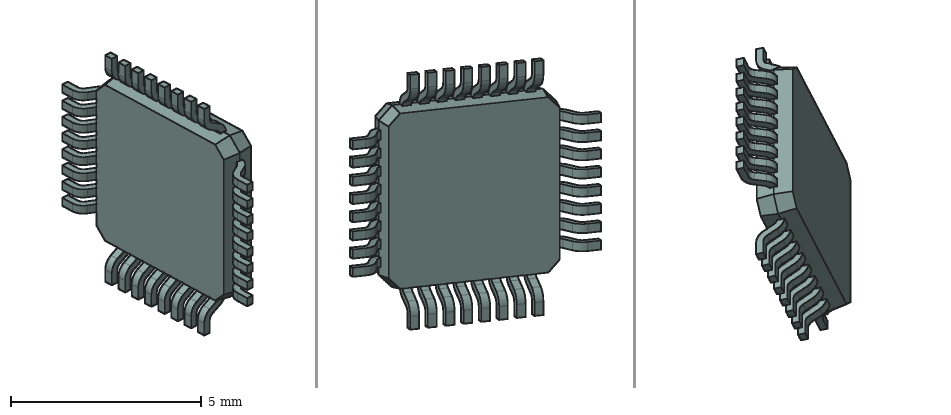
import cadquery as cq
import math


lead_tip_span = 7.0
standoff = 0.195

body_size = 5.0
body_thickness = 1.0
body_draft = 10.0
corner_chamfer = 0.38

leads_per_side = 8
lead_row_span = 3.5
lead_width = 0.25
lead_thickness = 0.2
foot_length = 0.38
bend_inner_radius = 0.2
bend_angle = math.radians(61)
root_depth = 0.35

half_thickness = body_thickness / 2
middle_y = standoff + half_thickness
lead_pitch = lead_row_span / (leads_per_side - 1)
bend_outer_radius = bend_inner_radius + lead_thickness
bend_mid_radius = bend_inner_radius + lead_thickness / 2


def body_half(direction):
    """Chamfered square, tapering from the middle plane towards +Y (1) or -Y (-1)."""
    plane = cq.Plane(origin=(0, middle_y, 0), xDir=(1, 0, 0), normal=(0, direction, 0))
    outline = cq.Sketch().rect(body_size, body_size).vertices().chamfer(corner_chamfer)
    return cq.Workplane(plane).placeSketch(outline).extrude(half_thickness, taper=body_draft)


def lead():
    """One lead reaching out along +X, centred on Z = 0."""
    foot_center_y = lead_thickness / 2
    bend_rise = 2 * bend_mid_radius * (1 - math.cos(bend_angle))
    slope_length = (middle_y - foot_center_y - bend_rise) / math.sin(bend_angle)
    bend_run = 2 * bend_mid_radius * math.sin(bend_angle) + slope_length * math.cos(bend_angle)

    tip_x = lead_tip_span / 2
    root_x = body_size / 2 - root_depth
    foot_bend_x = tip_x - foot_length
    foot_bend_y = foot_center_y + bend_mid_radius
    shoulder_bend_x = foot_bend_x - bend_run
    shoulder_bend_y = middle_y - bend_mid_radius

    def on_foot_bend(radius, angle):
        return foot_bend_x - radius * math.sin(angle), foot_bend_y - radius * math.cos(angle)

    def on_shoulder_bend(radius, angle):
        return shoulder_bend_x + radius * math.sin(angle), shoulder_bend_y + radius * math.cos(angle)

    half_angle = bend_angle / 2
    profile = (
        cq.Workplane("XY")
        .moveTo(tip_x, 0)
        .lineTo(*on_foot_bend(bend_outer_radius, 0))
        .threePointArc(
            on_foot_bend(bend_outer_radius, half_angle),
            on_foot_bend(bend_outer_radius, bend_angle),
        )
        .lineTo(*on_shoulder_bend(bend_inner_radius, bend_angle))
        .threePointArc(
            on_shoulder_bend(bend_inner_radius, half_angle),
            on_shoulder_bend(bend_inner_radius, 0),
        )
        .lineTo(root_x, middle_y - lead_thickness / 2)
        .lineTo(root_x, middle_y + lead_thickness / 2)
        .lineTo(*on_shoulder_bend(bend_outer_radius, 0))
        .threePointArc(
            on_shoulder_bend(bend_outer_radius, half_angle),
            on_shoulder_bend(bend_outer_radius, bend_angle),
        )
        .lineTo(*on_foot_bend(bend_inner_radius, bend_angle))
        .threePointArc(
            on_foot_bend(bend_inner_radius, half_angle),
            on_foot_bend(bend_inner_radius, 0),
        )
        .lineTo(tip_x, lead_thickness)
        .close()
    )
    return profile.extrude(lead_width / 2, both=True)


def lead_row():
    """All the leads of the +X side."""
    single = lead()
    row = cq.Workplane("XY")
    for index in range(leads_per_side):
        offset = index * lead_pitch - lead_row_span / 2
        row = row.add(single.translate((0, 0, offset)))
    return row.combine()


body = body_half(1).union(body_half(-1))
row = lead_row()
result = body
for side_angle in (0, 90, 180, 270):
    result = result.union(row.rotate((0, 0, 0), (0, 1, 0), side_angle))